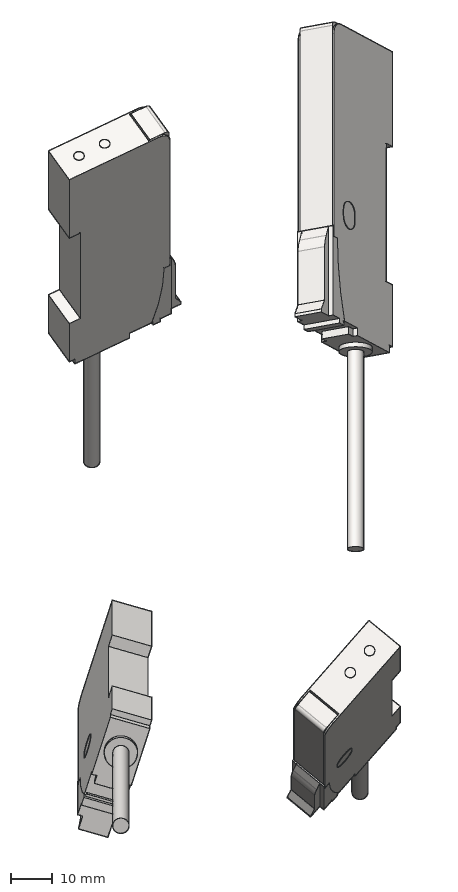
import cadquery as cq


width = 10.0
top_z = 127.8
front_y = 28.1
bottom_z = 53.0
rail_notch_depth = 3.1
rail_notch_bottom = 68.8
rail_notch_top = 103.8
wall_corner_radius = 3.3

foot_back_y = 1.5
foot_front_y = 16.9
foot_height = 1.9
tongue_front_y = 18.9
tongue_width = 7.4

cable_y = 9.2
cable_diameter = 4.0
collar_diameter = 8.0
collar_height = 1.2

socket_diameter = 2.5
socket_depth = 0.1
socket_ys = (5.6, 12.8)
side_mark_y = 20.7
side_mark_z = 80.5
side_mark_width = 5.5
side_mark_height = 6.9
side_mark_depth = 0.1

cover_width = 9.1
cover_back_y = 22.7
cover_end_gap = 0.4
cover_corner_radius = 1.2
cheek_top_z = 73.1
cheek_top_y = 26.5
cheek_middle_y = 25.5
cheek_bottom_y = 23.0

plate_front_y = 28.5
plate_top_z = 75.8

grip_width = 7.4
grip_bend_y = 29.6
grip_bend_z = 73.1
grip_face_y = 30.4
grip_face_top_z = 70.0
grip_flare_top_z = 56.5
grip_tip_y = 32.0
grip_tip_height = 0.8

peg_back_y = 23.4
peg_front_y = 25.4
peg_height = 1.2

foot_bottom_z = bottom_z - foot_height
collar_bottom_z = foot_bottom_z - collar_height


def block(x_size, y_min, y_max, z_min, z_max):
    """Box centred on X between the given Y and Z limits."""
    return cq.Workplane("XY", origin=(0, y_min, z_min)).box(
        x_size, y_max - y_min, z_max - z_min, centered=(True, False, False)
    )


def side_sketch(x=0.0):
    """Workplane whose local axes are Y and Z, at the given X."""
    return cq.Workplane("YZ", origin=(x, 0, 0))


def cheek_prism():
    """Prism of the cover's lower end, as wide as the housing, with a curved back edge."""
    middle_z = (cheek_top_z + bottom_z) / 2
    return (
        side_sketch()
        .moveTo(front_y, bottom_z)
        .lineTo(front_y, cheek_top_z)
        .lineTo(cheek_top_y, cheek_top_z)
        .threePointArc((cheek_middle_y, middle_z), (cheek_bottom_y, bottom_z))
        .close()
        .extrude(width / 2, both=True)
    )


def housing_shell():
    """Side outline with the rail notch, less the space that the cover fills."""
    body = block(width, 0, front_y, bottom_z, top_z)
    body = body.edges("|X").edges(">Y and >Z").fillet(wall_corner_radius)
    body = body.cut(block(width, 0, rail_notch_depth, rail_notch_bottom, rail_notch_top))
    body = body.cut(block(cover_width, cover_back_y - cover_end_gap, front_y, bottom_z, top_z))
    return body.cut(cheek_prism())


def sockets():
    """Round recesses in the top face."""
    return (
        cq.Workplane("XY", origin=(0, 0, top_z - socket_depth))
        .pushPoints([(0, y) for y in socket_ys])
        .circle(socket_diameter / 2)
        .extrude(socket_depth)
    )


def side_mark():
    """Upright oval recess in the -X face."""
    return (
        side_sketch(-width / 2)
        .center(side_mark_y, side_mark_z)
        .slot2D(side_mark_height, side_mark_width, 90)
        .extrude(side_mark_depth)
    )


def cable_with_collar():
    """Round collar under the foot with the cable hanging from it."""
    cable = cq.Workplane("XY", origin=(0, cable_y, 0)).circle(cable_diameter / 2).extrude(foot_bottom_z)
    collar = (
        cq.Workplane("XY", origin=(0, cable_y, collar_bottom_z))
        .circle(collar_diameter / 2)
        .extrude(collar_height)
    )
    return cable.union(collar)


def make_housing():
    foot = block(width, foot_back_y, foot_front_y, foot_bottom_z, bottom_z)
    tongue = block(tongue_width, foot_front_y, tongue_front_y, foot_bottom_z, bottom_z)
    body = housing_shell().union(foot).union(tongue).union(cable_with_collar())
    return body.cut(sockets()).cut(side_mark())


def cover_slab():
    """Long slab between the housing walls, rounded at its top front edge."""
    slab = block(cover_width, cover_back_y, front_y, bottom_z, top_z)
    return slab.edges("|X").edges(">Y and >Z").fillet(cover_corner_radius)


def finger_grip():
    """Narrow grip: sloped top, rounded into a flat face, flared to a tip at the bottom."""
    return (
        side_sketch()
        .moveTo(plate_front_y, bottom_z)
        .lineTo(plate_front_y, plate_top_z)
        .lineTo(grip_bend_y, grip_bend_z)
        .tangentArcPoint((grip_face_y, grip_face_top_z), relative=False)
        .lineTo(grip_face_y, grip_flare_top_z)
        .lineTo(grip_tip_y, bottom_z + grip_tip_height)
        .lineTo(grip_tip_y, bottom_z)
        .close()
        .extrude(grip_width / 2, both=True)
    )


def make_cover():
    peg = block(width, peg_back_y, peg_front_y, bottom_z - peg_height, bottom_z)
    plate = block(width, front_y, plate_front_y, bottom_z, plate_top_z)
    body = cover_slab().union(cheek_prism()).union(plate)
    return body.union(finger_grip()).union(peg)


housing = make_housing()
cover = make_cover()
result = cq.Compound.makeCompound([housing.val(), cover.val()])